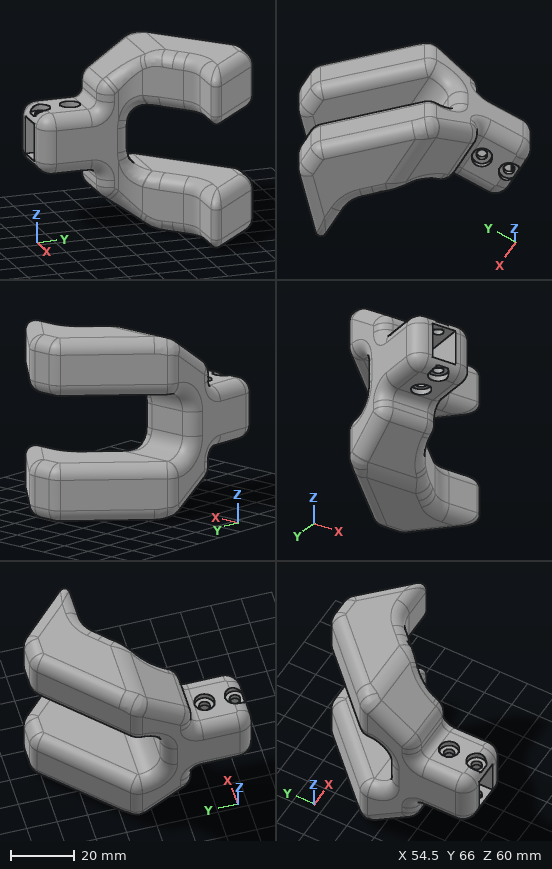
import cadquery as cq
import math

stem_width = 22
overall_length = 66
overall_height = 60
bend_angle = math.radians(45)
inner_bend_y = 30
foot_y = 46
foot_top_width = 10.18
outer_corner_radius = 5
inner_bend_radius = 10
tip_radius = 1.8
tip_join_x = 43

stub_height = 20
stub_length = 20
shoulder_height = 36
shoulder_slope = math.radians(35)
shoulder_inner_radius = 3
shoulder_outer_radius = 5
prong_corner_radius = 10
slot_height = 22
slot_bottom_y = 30
slot_corner_radius = 7

edge_radius = 4.5

socket_width = 8.5
socket_height = 12.4
socket_depth = 20
screw_hole_diameter = 3.5
counterbore_diameter = 6.5
counterbore_depth = 2
screw_hole_ys = (3.5, 13.5)

outer_bend_y = inner_bend_y + stem_width * math.tan(bend_angle / 2)
foot_corner_x = stem_width + (foot_y - inner_bend_y) / math.tan(bend_angle)
far_left_x = (overall_length - outer_bend_y) / math.tan(bend_angle)
far_right_x = far_left_x + foot_top_width
tip_angle = bend_angle
tip_x = far_right_x + (overall_length - foot_y) / math.tan(tip_angle)
stem_centre_x = stem_width / 2
prong_start_y = stub_length + (overall_height - shoulder_height) / 2 / math.tan(shoulder_slope)


def round_corners(body, axis, corners, radius):
    """Round the edges parallel to the "X" or "Z" axis that pass through the given corner points."""
    tolerance = 0.01

    def passes_corner(edge):
        centre = edge.Center()
        place = (centre.x, centre.y) if axis == "Z" else (centre.y, centre.z)
        return any(math.dist(place, corner) < tolerance for corner in corners)

    edges = [edge for edge in body.edges("|" + axis).vals() if passes_corner(edge)]
    return body.newObject(edges).fillet(radius)


def plan_body():
    """Plan outline with its upright corners rounded, all but the foot tip, over the full height."""
    stub_left, stub_right = (0, 0), (stem_width, 0)
    inner_bend, foot_corner = (stem_width, inner_bend_y), (foot_corner_x, foot_y)
    tip = (tip_x, foot_y)
    far_right, far_left = (far_right_x, overall_length), (far_left_x, overall_length)
    outer_bend = (0, outer_bend_y)
    outline = [stub_left, stub_right, inner_bend, foot_corner, tip, far_right, far_left, outer_bend]
    body = cq.Workplane("XY").polyline(outline).close().extrude(overall_height / 2, both=True)
    outer_corners = [stub_left, stub_right, far_right, far_left, outer_bend]
    body = round_corners(body, "Z", outer_corners, outer_corner_radius)
    return round_corners(body, "Z", [inner_bend, foot_corner], inner_bend_radius)


def side_body():
    """Side outline with its corners rounded, mirrored about Z = 0, across the full width."""
    upper = [
        (0, stub_height / 2),
        (stub_length, stub_height / 2),
        (stub_length, shoulder_height / 2),
        (prong_start_y, overall_height / 2),
        (overall_length, overall_height / 2),
        (overall_length, slot_height / 2),
        (slot_bottom_y, slot_height / 2),
    ]
    lower = [(y, -z) for y, z in reversed(upper)]
    body = cq.Workplane("YZ").polyline(upper + lower).close().extrude(tip_x)
    corner_radii = {
        1: shoulder_inner_radius,
        2: shoulder_outer_radius,
        3: prong_corner_radius,
        6: slot_corner_radius,
    }
    for index, radius in corner_radii.items():
        y, z = upper[index]
        body = round_corners(body, "X", [(y, z), (y, -z)], radius)
    return body


def sharp_edges(body):
    """Edges where two faces meet at a corner, leaving out seams between faces that run on smoothly."""
    smooth_limit = 0.95

    def is_sharp(edge):
        middle = edge.positionAt(0.5)
        neighbours = [face for face in body.faces().vals() if any(edge.isSame(side) for side in face.Edges())]
        normals = [face.normalAt(middle) for face in neighbours]
        return len(normals) == 2 and normals[0].dot(normals[1]) < smooth_limit

    return [edge for edge in body.edges().vals() if is_sharp(edge)]


def body_with_sharp_tips():
    """Common part of both outlines with every edge rounded except the upright ones at the foot tips."""
    blank = plan_body().intersect(side_body())
    outline_edges = [edge for edge in sharp_edges(blank) if edge.Center().x < tip_x - tip_radius]
    return blank.newObject(outline_edges).fillet(edge_radius)


def rounded_tip():
    """Upper foot tip: a wedge inset by the tip radius, then grown outward so a ball rounds its point."""
    wedge_length = 14
    inset_x = tip_x - tip_radius / math.tan(tip_angle / 2)
    inset_y = foot_y + tip_radius
    inset_height = (overall_height - slot_height) / 2 - 2 * tip_radius
    back_x = inset_x - wedge_length
    back_y = inset_y + wedge_length * math.tan(tip_angle)
    core = (
        cq.Workplane("XY", origin=(0, 0, slot_height / 2 + tip_radius))
        .polyline([(inset_x, inset_y), (back_x, back_y), (back_x, inset_y)])
        .close()
        .extrude(inset_height)
        .edges("(not |Y) and (not |Z)")
        .fillet(edge_radius - tip_radius)
    )
    return core.union(core.shell(tip_radius, kind="arc")).intersect(tip_zone())


def tip_zone():
    """Block around the upper foot tip, beyond the plane where the rounded tip joins the body."""
    depth = overall_length - foot_y
    block = cq.Workplane("XY").box(tip_x - tip_join_x, depth, overall_height / 2, centered=False)
    return block.translate((tip_join_x, foot_y, 0))


def screw_holes():
    """Through holes along Z with a counterbore on the top and bottom of the stub."""
    centres = [(stem_centre_x, y) for y in screw_hole_ys]
    holes = cq.Workplane("XY").pushPoints(centres).circle(screw_hole_diameter / 2)
    holes = holes.extrude(stub_height / 2, both=True)
    counterbore_floor = stub_height / 2 - counterbore_depth
    bores = cq.Workplane("XY", origin=(0, 0, counterbore_floor)).pushPoints(centres)
    bores = bores.circle(counterbore_diameter / 2).extrude(counterbore_depth)
    return holes.union(bores).union(bores.mirror("XY"))


def socket():
    """Rectangular pocket running along Y from the end of the stub."""
    block = cq.Workplane("XZ").rect(socket_width, socket_height).extrude(-socket_depth)
    return block.translate((stem_centre_x, 0, 0))


result = body_with_sharp_tips()
upper_tip = rounded_tip()
upper_zone = tip_zone()
for zone, tip in ((upper_zone, upper_tip), (upper_zone.mirror("XY"), upper_tip.mirror("XY"))):
    result = result.cut(zone).union(tip)
result = result.cut(socket()).cut(screw_holes())